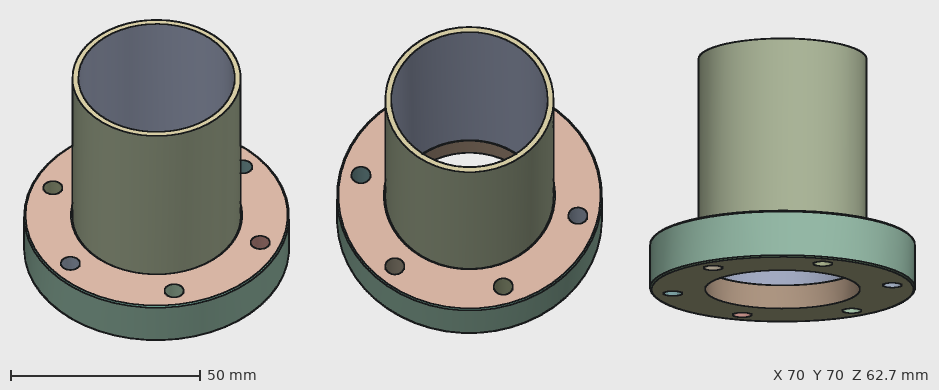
import cadquery as cq

flange_diameter = 69.95
flange_height = 12.65
flange_bore_diameter = 40.85
edge_chamfer = 0.4

tube_outer_diameter = 44.4
tube_inner_diameter = 41.3
total_height = 62.7
seat_depth = flange_height / 2
seat_height = flange_height - seat_depth
tube_length = total_height - seat_height

bolt_count = 6
bolt_hole_diameter = 5.05
bolt_circle_diameter = 58.55
first_bolt_angle = -7.5


def make_flange():
    """Chamfered disc with a bore, a chamfered tube seat and a ring of bolt holes."""
    disc = (
        cq.Workplane("XY")
        .circle(flange_diameter / 2)
        .extrude(flange_height)
        .edges()
        .chamfer(edge_chamfer)
    )
    bored = disc.faces(">Z").workplane().cboreHole(
        flange_bore_diameter, tube_outer_diameter, seat_depth
    )
    seat_rim = cq.selectors.RadiusNthSelector(0)
    bored = bored.faces(">Z").edges(seat_rim).chamfer(edge_chamfer)
    return (
        bored.faces(">Z")
        .workplane()
        .polarArray(bolt_circle_diameter / 2, first_bolt_angle, 360, bolt_count)
        .hole(bolt_hole_diameter)
    )


def make_tube():
    """Plain tube standing on the floor of the flange seat."""
    return (
        cq.Workplane("XY")
        .workplane(offset=seat_height)
        .circle(tube_outer_diameter / 2)
        .circle(tube_inner_diameter / 2)
        .extrude(tube_length)
    )


flange = make_flange()
tube = make_tube()

result = cq.Compound.makeCompound([flange.val(), tube.val()])